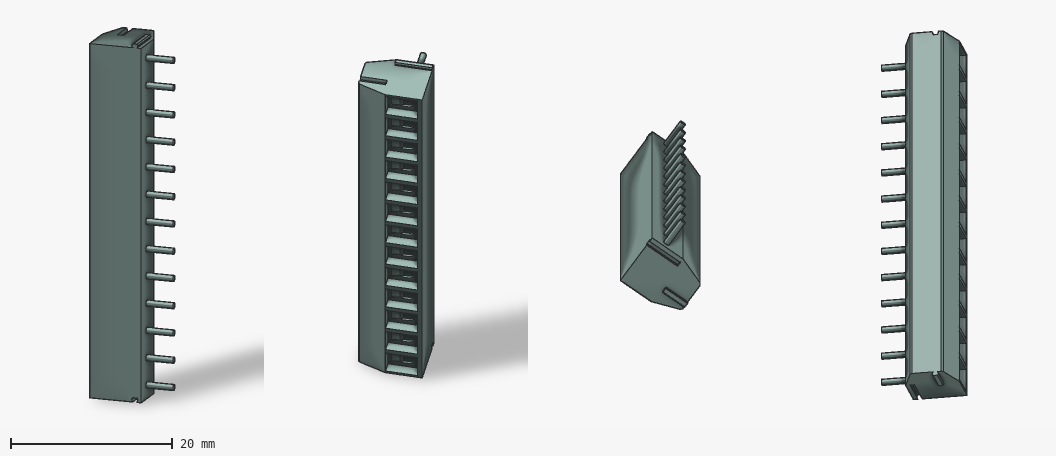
import cadquery as cq

OVERALL_HEIGHT = 46.45
WAYS = 13
BODY_DEPTH = 6.8
BODY_WIDTH = 8.4
BODY_HEIGHT = 45.5
PITCH = BODY_HEIGHT / WAYS
SHOULDER_Y = 4.7
TOP_INSET = 1.35
CORNER_BEVEL = 0.2

PIN_DIAMETER = 0.8
PIN_LENGTH = 3.55
PIN_Y = 2.15

KEY_WIDTH = 0.85
KEY_NECK = 0.55
KEY_BEVEL = 0.2
RIB_HEIGHT = (OVERALL_HEIGHT - BODY_HEIGHT) / 2
BOTTOM_GROOVE_DEPTH = 0.55
TOP_GROOVE_DEPTH = 0.4
REAR_KEY_X = 5.95
REAR_KEY_LENGTH = SHOULDER_Y
FRONT_KEY_X = 2.28
FRONT_KEY_LENGTH = 3.35
FRONT_KEY_START_Y = BODY_WIDTH - FRONT_KEY_LENGTH

POCKET_DEPTH = 1.4
POCKET_HEIGHT = 2.95
POCKET_LOW_Y = 0.6
POCKET_HIGH_Y = SHOULDER_Y - 0.05
POCKET_DRAFT = 0.2

SEAT_RADIUS = 0.95
SEAT_Y = 2.1
SEAT_DEPTH = 0.35
SEAT_EDGE_Y = 2.97
SEAT_RAMP = 0.35

GUIDE_DEPTH = 0.25
GUIDE_WIDE = 2.4
GUIDE_NARROW = 1.6
GUIDE_LOW_Y = 3.2
GUIDE_WALL_SLOPE = 0.35


def prism_along_z(points, height, center_z=0):
    """Extrude an XY outline symmetrically about center_z."""
    outline = cq.Workplane("XY").polyline(points).close()
    return outline.extrude(height / 2, both=True).translate((0, 0, center_z))


def make_body():
    taper = TOP_INSET / (BODY_WIDTH - SHOULDER_Y)
    bevel_x = TOP_INSET - taper * CORNER_BEVEL
    bevel_y = BODY_WIDTH - CORNER_BEVEL
    top_x = TOP_INSET + CORNER_BEVEL
    outline = [
        (0, 0),
        (BODY_DEPTH, 0),
        (BODY_DEPTH, SHOULDER_Y),
        (BODY_DEPTH - bevel_x, bevel_y),
        (BODY_DEPTH - top_x, BODY_WIDTH),
        (top_x, BODY_WIDTH),
        (bevel_x, bevel_y),
        (0, SHOULDER_Y),
    ]
    return prism_along_z(outline, BODY_HEIGHT, BODY_HEIGHT / 2)


def make_key(center_x, start_y, length, base_z, height, direction):
    """Six-sided bar along +Y that rises (direction 1) or hangs (-1) from base_z."""
    tip_z = direction * height
    wide_z = direction * (height - KEY_BEVEL)
    neck = KEY_NECK / 2
    wide = KEY_WIDTH / 2
    outline = [
        (-neck, 0),
        (-wide, wide_z),
        (-neck, tip_z),
        (neck, tip_z),
        (wide, wide_z),
        (neck, 0),
    ]
    key = cq.Workplane("XZ").polyline(outline).close().extrude(-length)
    return key.translate((center_x, start_y, base_z))


def make_top_groove():
    """Groove with sloped sides, widest at its mouth."""
    floor_z = BODY_HEIGHT - TOP_GROOVE_DEPTH
    outline = [
        (FRONT_KEY_X - KEY_WIDTH / 2, BODY_HEIGHT),
        (FRONT_KEY_X - KEY_NECK / 2, floor_z),
        (FRONT_KEY_X + KEY_NECK / 2, floor_z),
        (FRONT_KEY_X + KEY_WIDTH / 2, BODY_HEIGHT),
    ]
    face = cq.Workplane("XZ", origin=(0, FRONT_KEY_START_Y, 0))
    return face.polyline(outline).close().extrude(-FRONT_KEY_LENGTH)


def make_pin(center_z):
    root_x = BODY_DEPTH / 2
    face = cq.Workplane("YZ", origin=(root_x, PIN_Y, center_z))
    return face.circle(PIN_DIAMETER / 2).extrude(BODY_DEPTH - root_x + PIN_LENGTH)


def make_pocket(center_z):
    outline = [
        (0, POCKET_LOW_Y),
        (POCKET_DEPTH, POCKET_LOW_Y + POCKET_DRAFT),
        (POCKET_DEPTH, POCKET_HIGH_Y),
        (0, POCKET_HIGH_Y),
    ]
    return prism_along_z(outline, POCKET_HEIGHT, center_z)


def make_seat(center_z):
    seat_end = POCKET_DEPTH + SEAT_DEPTH
    low_y = SEAT_Y - SEAT_RADIUS
    side = (
        cq.Workplane("XY")
        .moveTo(POCKET_DEPTH, SEAT_EDGE_Y)
        .lineTo(POCKET_DEPTH, low_y)
        .lineTo(seat_end, low_y)
        .lineTo(seat_end, SEAT_EDGE_Y - SEAT_RAMP)
        .tangentArcPoint((POCKET_DEPTH, SEAT_EDGE_Y), relative=False)
        .close()
    )
    side_prism = side.extrude(SEAT_RADIUS, both=True).translate((0, 0, center_z))
    face = cq.Workplane("YZ", origin=(POCKET_DEPTH, SEAT_Y, center_z))
    round_part = face.circle(SEAT_RADIUS).extrude(SEAT_DEPTH)
    half_square = face.center(SEAT_RADIUS / 2, 0).rect(SEAT_RADIUS, 2 * SEAT_RADIUS)
    opening = round_part.union(half_square.extrude(SEAT_DEPTH))
    return opening.intersect(side_prism)


def make_guide(center_z):
    guide_end = POCKET_DEPTH + GUIDE_DEPTH
    side = [
        (POCKET_DEPTH, GUIDE_LOW_Y),
        (guide_end, POCKET_HIGH_Y - GUIDE_WALL_SLOPE),
        (POCKET_DEPTH, POCKET_HIGH_Y),
    ]
    flare = [
        (GUIDE_LOW_Y, -GUIDE_NARROW / 2),
        (POCKET_HIGH_Y, -GUIDE_WIDE / 2),
        (POCKET_HIGH_Y, GUIDE_WIDE / 2),
        (GUIDE_LOW_Y, GUIDE_NARROW / 2),
    ]
    face = cq.Workplane("YZ", origin=(POCKET_DEPTH, 0, center_z))
    opening = face.polyline(flare).close().extrude(GUIDE_DEPTH)
    return opening.intersect(prism_along_z(side, GUIDE_WIDE, center_z))


result = make_body()

result = result.cut(make_top_groove())
result = result.cut(make_key(REAR_KEY_X, 0, REAR_KEY_LENGTH, 0, BOTTOM_GROOVE_DEPTH, 1))
result = result.union(make_key(REAR_KEY_X, 0, REAR_KEY_LENGTH, BODY_HEIGHT, RIB_HEIGHT, 1))
result = result.union(make_key(FRONT_KEY_X, FRONT_KEY_START_Y, FRONT_KEY_LENGTH, 0, RIB_HEIGHT, -1))

for way in range(WAYS):
    way_z = (way + 0.5) * PITCH
    result = result.cut(make_pocket(way_z))
    result = result.cut(make_seat(way_z))
    result = result.cut(make_guide(way_z))
    result = result.union(make_pin(way_z))